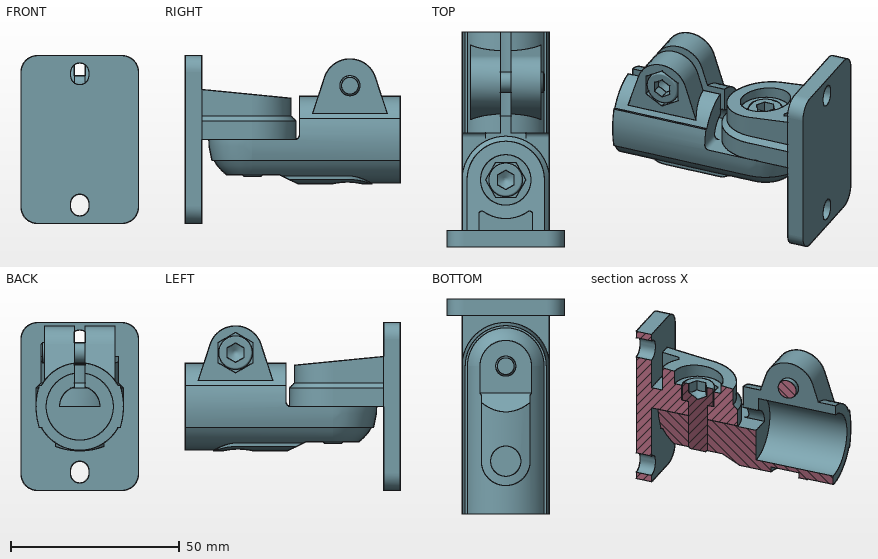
import cadquery as cq
import math

plate_width = 35.0
plate_height = 50.0
plate_thickness = 5.0
plate_corner_radius = 5.0
screw_slot_width = 5.4
screw_slot_height = 6.4
screw_slot_offset = 19.5

shank_diameter = 6.0
shank_length = 16.0
head_diameter = 10.0
head_height = 6.0
bolt_edge = 0.5
socket_flats = 5.0
socket_depth = 3.0
socket_cone_angle = 30.0
head_pocket_flats = 10.4

swivel_y = 20.0
joint_radius = 13.0
joint_bottom_z = -10.5
swivel_bolt_overhang = 0.5
swivel_seat_z = joint_bottom_z - swivel_bolt_overhang + shank_length

lug_step = 1.5
lug_upper_radius = joint_radius - lug_step
lug_shelf_z = 7.0
lug_tip_y = swivel_y + lug_upper_radius
lug_top_z_at_plate = 14.9
lug_top_z_at_tip = 12.3
counterbore_diameter = 15.0
counterbore_floor_z = 10.0
relief_width = 16.0
relief_corner_radius = 0.9
relief_floor_z = lug_shelf_z

tube_end_y = 64.0
tube_radius = joint_radius
band_half_height = 6.25
band_edge_x = 12.05
shoulder_y = 34.0
shoulder_fillet = 1.5
bore_diameter = 20.0
bore_bottom_y = 39.0
passage_radius = 6.0
clamp_slot_width = 3.2

ear_y = 49.0
ear_z = 16.0
ear_radius = 8.0
ear_half_width = 10.5
ear_foot_half_length = 11.1
ear_foot_z = 7.7

pad_y = 48.25
pad_radius = 7.25
pad_bottom_z = -13.2
pad_edge_z = -11.85
pad_recess_diameter = 9.0
pad_recess_floor_z = -11.5
ramp_start_y = 28.0
ramp_end_y = 33.6

clear = 50.0

swivel_seat = cq.Plane(origin=(0, swivel_y, swivel_seat_z), xDir=(1, 0, 0), normal=(0, 0, 1))
swivel_bolt_seat = swivel_seat.rotated((0, 0, 90))
ear_seat = cq.Plane(origin=(head_height - ear_half_width, ear_y, ear_z), xDir=(0, 0, 1), normal=(-1, 0, 0))


def corner_radius(across_flats):
    """Centre-to-corner distance of a hexagon."""
    return across_flats / 2 / math.cos(math.pi / 6)


def hexagon(plane, across_flats, bottom, height):
    """Hexagonal prism that starts at the given height above the plane."""
    outline = cq.Workplane(plane).workplane(offset=bottom).polygon(6, 2 * corner_radius(across_flats))
    return outline.extrude(height)


def disc(plane, diameter, height):
    """Cylinder on the plane, extruded along its normal."""
    return cq.Workplane(plane).circle(diameter / 2).extrude(height)


def make_bolt(plane):
    """Bolt whose head rests on the plane, with a cone at the bottom of its socket."""
    tip = cq.selectors.DirectionMinMaxSelector(plane.zDir, False)
    crown = cq.selectors.DirectionMinMaxSelector(plane.zDir, True)
    shank = disc(plane, shank_diameter, -shank_length).faces(tip).chamfer(bolt_edge)
    head = disc(plane, head_diameter, head_height).faces(crown).fillet(bolt_edge)

    socket_floor = head_height - socket_depth
    socket = hexagon(plane, socket_flats, socket_floor, socket_depth)
    cone_radius = corner_radius(socket_flats)
    cone_depth = cone_radius * math.tan(math.radians(socket_cone_angle))
    cone_base = plane.origin + plane.zDir * socket_floor
    cone = cq.Workplane(cq.Solid.makeCone(cone_radius, 0, cone_depth, cone_base, -plane.zDir))
    cone = cone.intersect(hexagon(plane, socket_flats, socket_floor, -cone_depth))
    return shank.union(head).cut(socket).cut(cone)


def make_bolt_hole(plane):
    """Cutter for a bolt: hexagonal head pocket and shank hole."""
    pocket = hexagon(plane, head_pocket_flats, 0, head_height)
    return pocket.union(disc(plane, shank_diameter, -shank_length))


def make_plate():
    plate = cq.Workplane("XZ").rect(plate_width, plate_height).extrude(-plate_thickness)
    plate = plate.edges("|Y").fillet(plate_corner_radius)
    screw_slots = (
        cq.Workplane("XZ")
        .pushPoints([(0, screw_slot_offset), (0, -screw_slot_offset)])
        .slot2D(screw_slot_height, screw_slot_width, 90)
        .extrude(-plate_thickness)
    )
    return plate.cut(screw_slots)


def make_tongue(radius, height):
    """Tongue from the plate to a half-round end about the swivel axis."""
    return (
        cq.Workplane("XY")
        .moveTo(-radius, plate_thickness)
        .lineTo(radius, plate_thickness)
        .lineTo(radius, swivel_y)
        .threePointArc((0, swivel_y + radius), (-radius, swivel_y))
        .close()
        .extrude(height)
    )


def make_lug():
    """Wide tongue with a chamfered rim, and a narrower one with a sloping top."""
    wide = make_tongue(joint_radius, lug_shelf_z)
    wide = wide.faces(">Z").edges("not <Y").chamfer(lug_step)
    slope_side = (
        cq.Workplane("YZ")
        .moveTo(plate_thickness, 0)
        .lineTo(plate_thickness, lug_top_z_at_plate)
        .lineTo(lug_tip_y, lug_top_z_at_tip)
        .lineTo(lug_tip_y, 0)
        .close()
        .extrude(joint_radius, both=True)
    )
    narrow = make_tongue(lug_upper_radius, lug_top_z_at_plate).intersect(slope_side)
    return wide.union(narrow)


def make_relief():
    """Pocket between the plate and the round wall about the swivel axis."""
    length = swivel_y - plate_thickness
    pocket = (
        cq.Workplane("XY", origin=(0, plate_thickness + length / 2, relief_floor_z))
        .rect(relief_width, length)
        .extrude(clear)
    )
    wall = cq.Workplane("XY", origin=(0, swivel_y, 0)).circle(lug_upper_radius).extrude(2 * clear)
    return pocket.cut(wall).edges("|Z and (not <Y)").fillet(relief_corner_radius)


def make_bracket():
    counterbore_plane = cq.Plane(origin=(0, swivel_y, counterbore_floor_z))
    counterbore = disc(counterbore_plane, counterbore_diameter, clear)
    bracket = make_plate().union(make_lug())
    return bracket.cut(make_relief()).cut(counterbore).cut(make_bolt_hole(swivel_seat))


def half_section(plane):
    """Right half of the tube's cross-section, a circle with a raised side band."""
    band_root_x = math.sqrt(tube_radius**2 - band_half_height**2)
    diagonal = tube_radius * math.sqrt(0.5)
    return (
        cq.Workplane(plane)
        .moveTo(0, -tube_radius)
        .threePointArc((diagonal, -diagonal), (band_root_x, -band_half_height))
        .lineTo(band_edge_x, -band_half_height)
        .threePointArc((tube_radius, 0), (band_edge_x, band_half_height))
        .lineTo(band_root_x, band_half_height)
        .threePointArc((diagonal, diagonal), (0, tube_radius))
        .close()
    )


def make_tube():
    """Straight tube closed by its own section revolved about the swivel axis."""
    section_plane = cq.Plane(origin=(0, swivel_y, 0), xDir=(1, 0, 0), normal=(0, -1, 0))
    half = half_section(section_plane).extrude(swivel_y - tube_end_y)
    round_end = half_section(section_plane).revolve(360, (0, 0, 0), (0, 1, 0))
    return half.union(half.mirror("YZ")).union(round_end)


def make_ears():
    """Block with a round top whose straight sides are tangent to it."""
    foot_dz = ear_foot_z - ear_z
    foot_distance = math.hypot(ear_foot_half_length, foot_dz)
    tangent_angle = math.atan2(foot_dz, ear_foot_half_length) + math.acos(ear_radius / foot_distance)
    tangent_y = ear_radius * math.cos(tangent_angle)
    tangent_z = ear_radius * math.sin(tangent_angle)
    return (
        cq.Workplane("YZ", origin=(0, ear_y, ear_z))
        .moveTo(-ear_foot_half_length, foot_dz)
        .lineTo(-tangent_y, tangent_z)
        .threePointArc((0, ear_radius), (tangent_y, tangent_z))
        .lineTo(ear_foot_half_length, foot_dz)
        .close()
        .extrude(ear_half_width, both=True)
    )


def make_pad():
    """Round-ended pad with a bulging underside."""
    pad_end_y = pad_y + pad_radius
    outline = (
        cq.Workplane("XY")
        .moveTo(-pad_radius, ramp_start_y)
        .lineTo(-pad_radius, pad_y)
        .threePointArc((0, pad_end_y), (pad_radius, pad_y))
        .lineTo(pad_radius, ramp_start_y)
        .close()
        .extrude(pad_bottom_z)
    )
    bulge = (
        cq.Workplane("XZ", origin=(0, ramp_start_y, 0))
        .moveTo(-pad_radius, 0)
        .lineTo(-pad_radius, pad_edge_z)
        .threePointArc((0, pad_bottom_z), (pad_radius, pad_edge_z))
        .lineTo(pad_radius, 0)
        .close()
        .extrude(ramp_start_y - pad_end_y)
    )
    return outline.intersect(bulge)


def make_underside_cut():
    """Flat under the swivel joint, then a ramp down to the bottom of the pad."""
    return (
        cq.Workplane("YZ")
        .moveTo(0, joint_bottom_z)
        .lineTo(ramp_start_y, joint_bottom_z)
        .lineTo(ramp_end_y, pad_bottom_z)
        .lineTo(0, pad_bottom_z)
        .close()
        .extrude(clear, both=True)
    )


def make_joint_cut():
    """Space above the joint plane, up to the filleted shoulder."""
    space = cq.Workplane("XY").rect(clear, 2 * shoulder_y).extrude(clear)
    return space.edges("<Z and >Y").fillet(shoulder_fillet)


def make_passage():
    """Half-round opening from the shoulder into the bore."""
    return (
        cq.Workplane("XZ", origin=(0, swivel_y, 0))
        .moveTo(-passage_radius, 0)
        .threePointArc((0, passage_radius), (passage_radius, 0))
        .close()
        .extrude(swivel_y - bore_bottom_y)
    )


def make_clamp_slot():
    length = tube_end_y - swivel_y
    slot = cq.Workplane("XY", origin=(0, swivel_y + length / 2, 0)).rect(clamp_slot_width, length)
    return slot.extrude(clear)


def make_clamp():
    bore_plane = cq.Plane(origin=(0, bore_bottom_y, 0), xDir=(1, 0, 0), normal=(0, 1, 0))
    recess_plane = cq.Plane(origin=(0, pad_y, pad_recess_floor_z))
    cutters = [
        make_underside_cut(),
        make_joint_cut(),
        disc(bore_plane, bore_diameter, tube_end_y - bore_bottom_y),
        make_passage(),
        make_clamp_slot(),
        disc(recess_plane, pad_recess_diameter, -clear),
        make_bolt_hole(ear_seat),
        disc(swivel_seat, shank_diameter, -shank_length),
    ]
    clamp = make_tube().union(make_pad()).union(make_ears())
    for cutter in cutters:
        clamp = clamp.cut(cutter)
    return clamp


bracket = make_bracket()
clamp = make_clamp()
bolts = [make_bolt(seat).solids().val() for seat in (swivel_bolt_seat, ear_seat)]

result = cq.Compound.makeCompound([bracket.solids().val(), clamp.solids().val(), *bolts])